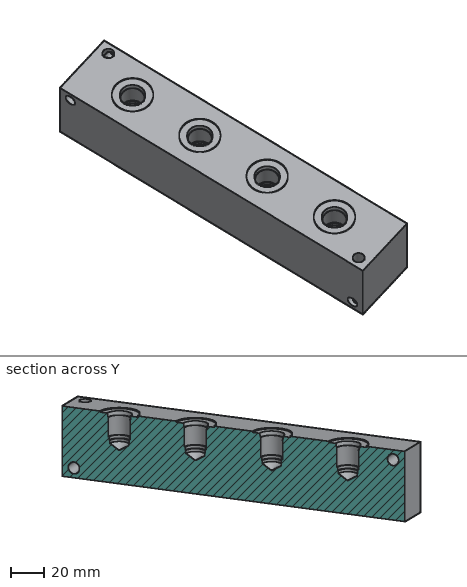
import cadquery as cq
import math

LENGTH = 228.6
SIDE = 44.45

PORT_COUNT = 4
PORT_PITCH = 50.8
SPOTFACE_DIA = 25.02
SPOTFACE_DEPTH = 0.7
SEAT_TOP_DIA = 15.6
SEAT_BOTTOM_DIA = 14.53
SEAT_HALF_ANGLE = 12.0
THREAD_DIA = 14.28
THREAD_END_DEPTH = 15.5
TAP_DRILL_DIA = 12.9
TAP_DRILL_END_DEPTH = 17.5
PILOT_DIA = 12.29
PILOT_END_DEPTH = 19.5
DRILL_POINT_ANGLE = 118.0

MOUNT_DIA = 7.14
MOUNT_END_INSET = 7.9
MOUNT_SIDE_INSET = 6.35

TOP = SIDE / 2


def cone_height(large_dia, small_dia, half_angle):
    """Axial length of a cone between two diameters, with its half angle in degrees."""
    return (large_dia - small_dia) / 2 / math.tan(math.radians(half_angle))


def make_port():
    """Stepped port cavity on the Z axis, opening at Z = 0 and running down."""
    point_half_angle = DRILL_POINT_ANGLE / 2
    seat_end_depth = SPOTFACE_DEPTH + cone_height(SEAT_TOP_DIA, SEAT_BOTTOM_DIA, SEAT_HALF_ANGLE)
    thread_start_depth = seat_end_depth + cone_height(SEAT_BOTTOM_DIA, THREAD_DIA, point_half_angle)
    pilot_start_depth = TAP_DRILL_END_DEPTH + cone_height(TAP_DRILL_DIA, PILOT_DIA, point_half_angle)
    pilot_tip_depth = PILOT_END_DEPTH + cone_height(PILOT_DIA, 0, point_half_angle)
    return (
        cq.Workplane("XZ")
        .lineTo(SPOTFACE_DIA / 2, 0)
        .lineTo(SPOTFACE_DIA / 2, -SPOTFACE_DEPTH)
        .lineTo(SEAT_TOP_DIA / 2, -SPOTFACE_DEPTH)
        .lineTo(SEAT_BOTTOM_DIA / 2, -seat_end_depth)
        .lineTo(THREAD_DIA / 2, -thread_start_depth)
        .lineTo(THREAD_DIA / 2, -THREAD_END_DEPTH)
        .lineTo(TAP_DRILL_DIA / 2, -THREAD_END_DEPTH)
        .lineTo(TAP_DRILL_DIA / 2, -TAP_DRILL_END_DEPTH)
        .lineTo(PILOT_DIA / 2, -pilot_start_depth)
        .lineTo(PILOT_DIA / 2, -PILOT_END_DEPTH)
        .lineTo(0, -pilot_tip_depth)
        .close()
        .revolve(360, (0, 0, 0), (0, 1, 0))
    )


def cut_ports(body):
    """Cut the evenly spaced ports along the centre line of the top face."""
    port = make_port()
    first_x = -PORT_PITCH * (PORT_COUNT - 1) / 2
    for index in range(PORT_COUNT):
        body = body.cut(port.translate((first_x + index * PORT_PITCH, 0, TOP)))
    return body


def cut_mounting_holes(body):
    """Drill the diagonal pair of mounting holes through along Z and again through along Y."""
    hole_x = LENGTH / 2 - MOUNT_END_INSET
    hole_offset = SIDE / 2 - MOUNT_SIDE_INSET
    centres = [(-hole_x, hole_offset), (hole_x, -hole_offset)]
    for plane in ("XY", "XZ"):
        holes = cq.Workplane(plane).pushPoints(centres).circle(MOUNT_DIA / 2).extrude(SIDE / 2, both=True)
        body = body.cut(holes)
    return body


block = cq.Workplane("XY").box(LENGTH, SIDE, SIDE)
result = cut_mounting_holes(cut_ports(block))